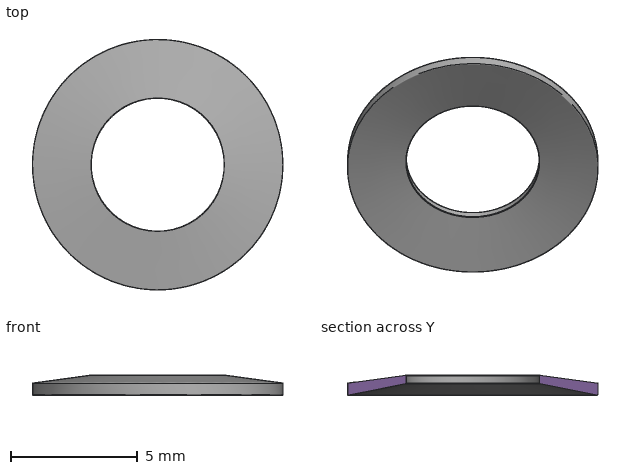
import cadquery as cq

outer_diameter = 9.9
hole_diameter = 5.25
sharp_height = 0.81
rim_height = 0.495
bore_height = 0.35
edge_round = 0.03

outer_radius = outer_diameter / 2
hole_radius = hole_diameter / 2

section = (
    cq.Workplane("XZ")
    .moveTo(outer_radius, 0)
    .lineTo(outer_radius, rim_height)
    .lineTo(hole_radius, sharp_height)
    .lineTo(hole_radius, sharp_height - bore_height)
    .close()
)

washer = section.revolve(360, (0, 0, 0), (0, 1, 0))

result = washer.edges("%CIRCLE").fillet(edge_round)